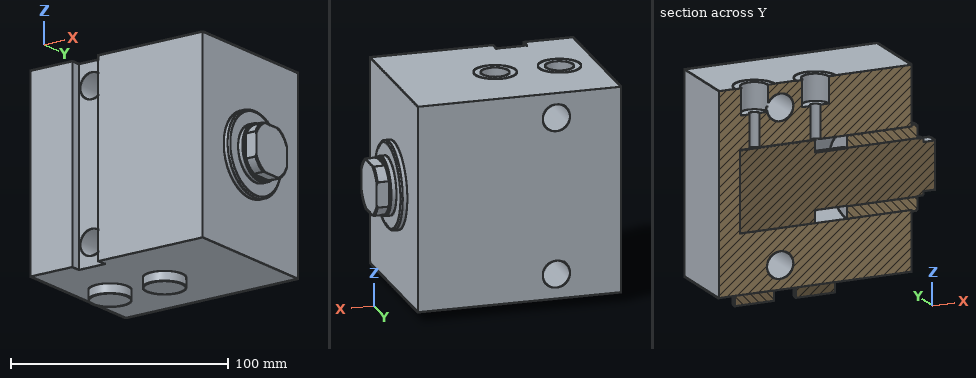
import cadquery as cq

BLOCK_LENGTH = 98.0
BLOCK_DEPTH = 75.0
BLOCK_HEIGHT = 100.0
FRONT_Y = -BLOCK_DEPTH / 2
TOP_Z = BLOCK_HEIGHT / 2

SLOT_START = 23.9
SLOT_WIDTH = 14.7
SLOT_DEPTH = 5.2
SLOT_CENTRE = SLOT_START + SLOT_WIDTH / 2
BOLT_HOLE_DIAMETER = 13.1
BOLT_HOLE_EDGE = 12.0

PORT_START = 18.2
PORT_SPACING = 31.0
PORT_X = [PORT_START, PORT_START + PORT_SPACING]
SEAT_DIAMETER = 20.0
SEAT_DEPTH = 0.1
PORT_DIAMETER = 13.3
PORT_DEPTH = 13.2
PASSAGE_DIAMETER = 5.0
PLUG_DIAMETER = SEAT_DIAMETER
PLUG_HEIGHT = 5.0
PLUG_CHAMFER = 0.2

BORE_DIAMETER = 40.0
BORE_START = 11.0

GLAND_LENGTH = 33.0
FLANGE_DIAMETER = 42.0
FLANGE_THICKNESS = 3.1
FLANGE_CHAMFER = 0.9
FLANGE_END = BLOCK_LENGTH + FLANGE_THICKNESS

ROD_DIAMETER = 27.9
COLLAR_LENGTH = 3.1
COLLAR_CHAMFER = 0.7
TIP_DIAMETER = 27.0
TIP_FLATS = 24.0
TIP_CHAMFER = 0.4
OVERALL_LENGTH = 110.0
COLLAR_END = FLANGE_END + COLLAR_LENGTH
PISTON_END = PORT_X[1]


def rod_along_x(diameter, start, end):
    """Cylinder on the rod axis between two X positions."""
    return cq.Workplane("YZ", origin=(start, 0, 0)).circle(diameter / 2).extrude(end - start)


def drill_down(x, diameter, depth):
    """Cutting cylinder that goes down from the top face at x."""
    return cq.Workplane("XY", origin=(x, 0, TOP_Z - depth)).circle(diameter / 2).extrude(depth)


def make_housing():
    block = cq.Workplane("XY").box(BLOCK_LENGTH, BLOCK_DEPTH, BLOCK_HEIGHT, centered=(False, True, True))
    slot = (
        cq.Workplane("XY")
        .box(SLOT_WIDTH, SLOT_DEPTH, BLOCK_HEIGHT, centered=(False, False, True))
        .translate((SLOT_START, FRONT_Y, 0))
    )
    block = block.cut(slot)

    bolt_z = TOP_Z - BOLT_HOLE_EDGE
    bolt_holes = (
        cq.Workplane("XZ", origin=(0, -FRONT_Y, 0))
        .pushPoints([(SLOT_CENTRE, -bolt_z), (SLOT_CENTRE, bolt_z)])
        .circle(BOLT_HOLE_DIAMETER / 2)
        .extrude(BLOCK_DEPTH)
    )
    block = block.cut(bolt_holes)

    for x in PORT_X:
        block = block.cut(drill_down(x, SEAT_DIAMETER, SEAT_DEPTH))
        block = block.cut(drill_down(x, PORT_DIAMETER, PORT_DEPTH))
        block = block.cut(drill_down(x, PASSAGE_DIAMETER, TOP_Z))

    return block.cut(rod_along_x(BORE_DIAMETER, BORE_START, BLOCK_LENGTH))


def make_plug(x):
    plug = cq.Workplane("XY", origin=(x, 0, -TOP_Z)).circle(PLUG_DIAMETER / 2).extrude(-PLUG_HEIGHT)
    return plug.faces("<Z").chamfer(PLUG_CHAMFER)


def make_gland():
    flange = rod_along_x(FLANGE_DIAMETER, BLOCK_LENGTH, FLANGE_END).faces(">X").chamfer(FLANGE_CHAMFER)
    sleeve = rod_along_x(BORE_DIAMETER, BLOCK_LENGTH - GLAND_LENGTH, BLOCK_LENGTH)
    rod_hole = rod_along_x(ROD_DIAMETER, BLOCK_LENGTH - GLAND_LENGTH, FLANGE_END)
    return flange.union(sleeve).cut(rod_hole)


def make_piston_rod():
    piston = rod_along_x(BORE_DIAMETER, BORE_START, PISTON_END)
    rod = rod_along_x(ROD_DIAMETER, PISTON_END, COLLAR_END).faces(">X").chamfer(COLLAR_CHAMFER)
    tip = rod_along_x(TIP_DIAMETER, COLLAR_END, OVERALL_LENGTH).faces(">X").chamfer(TIP_CHAMFER)
    flats = cq.Workplane("XY", origin=(COLLAR_END, 0, 0)).box(
        OVERALL_LENGTH - COLLAR_END, TIP_FLATS, TIP_FLATS, centered=(False, True, True)
    )
    return piston.union(rod).union(tip.intersect(flats))


housing = make_housing()
plugs = [make_plug(x) for x in PORT_X]
gland = make_gland()
piston_rod = make_piston_rod()

result = cq.Compound.makeCompound(
    [housing.val(), *[plug.val() for plug in plugs], gland.val(), piston_rod.val()]
)